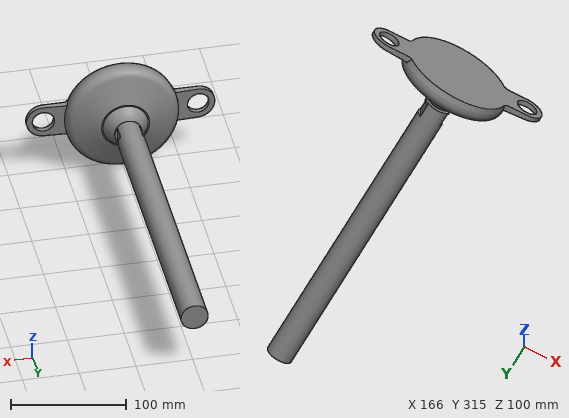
import cadquery as cq
import math

total_length = 315.0

foot_diameter = 100.0
foot_radius = foot_diameter / 2
sole_radius = 48.8
rim_bottom = 5.7
rim_top = 8.5
shoulder_radius = 8.2
cone_angle = math.radians(19)
cone_top_radius = 21.0

ball_diameter = 45.0
ball_radius = ball_diameter / 2
ball_center = 14.0

stem_radius = 12.0
stem_start = 35.3
flat_start = 37.2
flat_end = 49.5
flat_width = 19.2

overall_width = 166.0
lug_radius = 14.8
lug_hole_diameter = 19.2
lug_tip_thickness = 3.8
lug_root_thickness = rim_bottom
lug_fillet = 5.0
lug_hole_x = overall_width / 2 - lug_radius


def make_foot():
    """Turned foot: tapered edge, straight band, rounded shoulder and cone."""
    shoulder_x = foot_radius - shoulder_radius
    normal = math.pi / 2 - cone_angle

    def shoulder_point(angle):
        return (
            shoulder_x + shoulder_radius * math.cos(angle),
            rim_top + shoulder_radius * math.sin(angle),
        )

    cone_start = shoulder_point(normal)
    cone_top = cone_start[1] + (cone_start[0] - cone_top_radius) * math.tan(cone_angle)
    return (
        cq.Workplane("XY")
        .lineTo(sole_radius, 0)
        .lineTo(foot_radius, rim_bottom)
        .lineTo(foot_radius, rim_top)
        .threePointArc(shoulder_point(normal / 2), cone_start)
        .lineTo(cone_top_radius, cone_top)
        .lineTo(0, cone_top)
        .close()
        .revolve(360, (0, 0), (0, 1))
    )


def make_ball():
    """Ball seated in the foot, cut level with the lower end of the stem."""
    ball = cq.Workplane("XY").sphere(ball_radius).translate((0, ball_center, 0))
    keep = (
        cq.Workplane("XY")
        .box(2 * ball_radius, stem_start, 2 * ball_radius, centered=(True, False, True))
    )
    return ball.intersect(keep)


def make_stem():
    """Plain round stem with a wrench flat on each X side."""
    stem = (
        cq.Workplane("XZ", origin=(0, stem_start, 0))
        .circle(stem_radius)
        .extrude(stem_start - total_length)
    )
    for side in (-1, 1):
        cutter = (
            cq.Workplane("XY")
            .box(stem_radius, flat_end - flat_start, 2 * stem_radius, centered=(True, False, True))
            .translate((side * (flat_width + stem_radius) / 2, flat_start, 0))
        )
        stem = stem.cut(cutter)
    return stem


def make_lugs():
    """Pair of lugs blended into the foot, thinning towards their tips."""
    blend_z = lug_radius + lug_fillet
    blend_x = math.sqrt((sole_radius + lug_fillet) ** 2 - blend_z**2)
    contact = sole_radius / (sole_radius + lug_fillet)
    root_x = blend_x * contact
    root_z = blend_z * contact
    contact_angle = math.pi + math.atan2(blend_z, blend_x)
    middle_angle = (contact_angle + 3 * math.pi / 2) / 2
    middle_x = blend_x + lug_fillet * math.cos(middle_angle)
    middle_z = blend_z + lug_fillet * math.sin(middle_angle)
    tip_x = overall_width / 2

    outline = (
        cq.Workplane("XZ")
        .moveTo(0, root_z)
        .lineTo(root_x, root_z)
        .threePointArc((middle_x, middle_z), (blend_x, lug_radius))
        .lineTo(lug_hole_x, lug_radius)
        .threePointArc((tip_x, 0), (lug_hole_x, -lug_radius))
        .lineTo(blend_x, -lug_radius)
        .threePointArc((middle_x, -middle_z), (root_x, -root_z))
        .lineTo(0, -root_z)
        .close()
        .extrude(-lug_root_thickness)
    )
    taper = (
        cq.Workplane("XY")
        .polyline([
            (0, 0),
            (tip_x, 0),
            (tip_x, lug_tip_thickness),
            (blend_x, lug_root_thickness),
            (0, lug_root_thickness),
        ])
        .close()
        .extrude(root_z, both=True)
    )
    hole = (
        cq.Workplane("XZ")
        .center(lug_hole_x, 0)
        .circle(lug_hole_diameter / 2)
        .extrude(-lug_root_thickness)
    )
    lug = outline.intersect(taper).cut(hole)
    return lug.union(lug.mirror("YZ"))


result = make_foot().union(make_ball()).union(make_stem()).union(make_lugs())